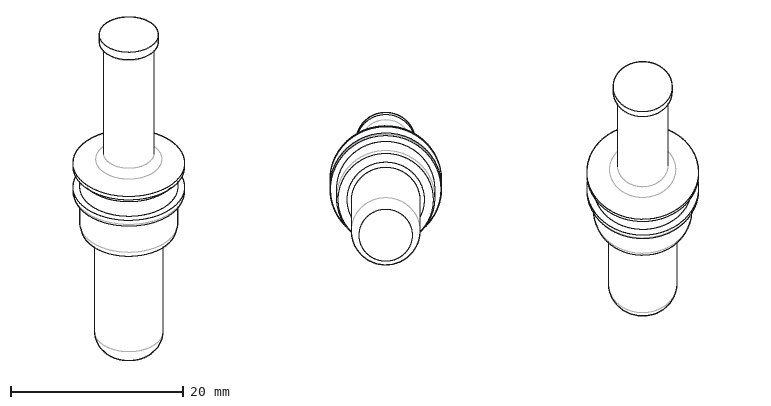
import cadquery as cq

head_radius = 6.9 / 2
stem_radius = 5.9 / 2
flange_radius = 13.0 / 2
body_radius = 11.45 / 2
pin_radius = 8.0 / 2
tip_radius = 3.1

total_height = 45.0
tip_height = 2.0
body_bottom = 16.95
ring_bottom = 22.0
ring_top = 22.9
flange_bottom = 25.88
flange_top = 26.35
fillet_bottom = 26.9

head_thickness = 1.1
pin_chamfer = 0.5
stem_fillet = 0.9
flange_chamfer_height = 0.85
body_chamfer_height = 0.7
body_chamfer_width = 0.2
ring_chamfer_height = 0.3
ring_chamfer_width = 0.1

head_bottom = total_height - head_thickness
head_fillet = head_radius - stem_radius

fillet_outer_radius = stem_radius + stem_fillet
fillet_top = fillet_bottom + stem_fillet

profile = (
    cq.Workplane("XZ")
    .moveTo(0, total_height)
    .lineTo(head_radius, total_height)
    .lineTo(head_radius, head_bottom)
    .radiusArc((stem_radius, head_bottom - head_fillet), -head_fillet)
    .lineTo(stem_radius, fillet_top)
    .tangentArcPoint((fillet_outer_radius, fillet_bottom), relative=False)
    .lineTo(flange_radius, flange_top)
    .lineTo(flange_radius, flange_bottom)
    .lineTo(body_radius, flange_bottom - flange_chamfer_height)
    .lineTo(body_radius, ring_top)
    .lineTo(flange_radius, ring_top)
    .lineTo(flange_radius, ring_bottom + ring_chamfer_height)
    .lineTo(flange_radius - ring_chamfer_width, ring_bottom)
    .lineTo(body_radius, ring_bottom)
    .lineTo(body_radius, body_bottom + body_chamfer_height)
    .lineTo(body_radius - body_chamfer_width, body_bottom)
    .lineTo(pin_radius + pin_chamfer, body_bottom)
    .lineTo(pin_radius, body_bottom - pin_chamfer)
    .lineTo(pin_radius, tip_height)
    .tangentArcPoint((tip_radius, 0), relative=False)
    .lineTo(0, 0)
    .close()
)

result = profile.revolve(360, (0, 0, 0), (0, 1, 0))